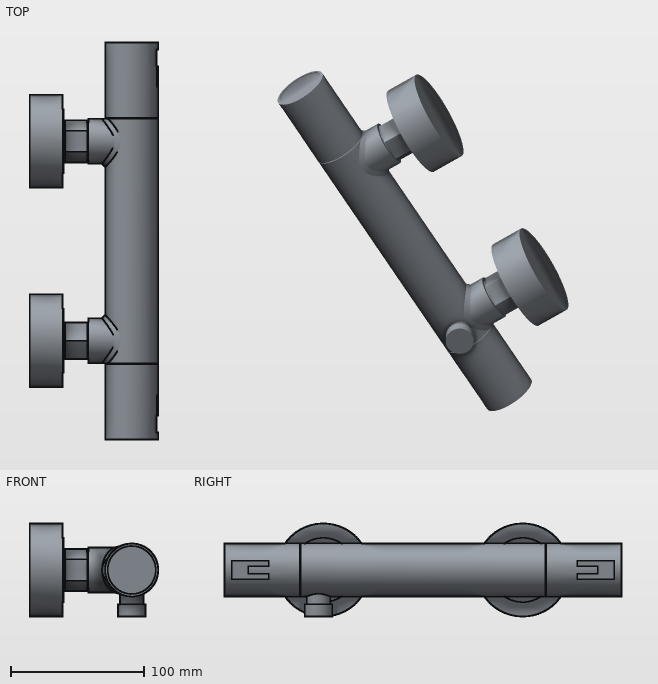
import cadquery as cq

BAR_LENGTH = 298.5
BAR_DIAMETER = 40.0
BAR_RADIUS = BAR_DIAMETER / 2
SEAM_Y = 92.5
SEAM_GAP = 0.5
RECESS_DIAMETER = 36.0
RECESS_DEPTH = 0.3

CONNECTION_Y = 75.0
COVER_DIAMETER = 70.0
COVER_BACK_X = BAR_RADIUS - 96.7
COVER_THICKNESS = 24.8
RIM_DIAMETER = 48.3
RIM_THICKNESS = 1.0
WASHER_DIAMETER = 28.0
WASHER_THICKNESS = 1.0
NUT_CORNERS = 32.0
NUT_LENGTH = 16.7
NECK_DIAMETER = 34.0
NECK_CHAMFER = 2.5

OUTLET_Y = -78.5
OUTLET_NECK_DIAMETER = 18.0
OUTLET_COLLAR_DIAMETER = 21.0
OUTLET_COLLAR_HEIGHT = 9.3
OUTLET_BOTTOM_Z = -COVER_DIAMETER / 2

FLAT_INNER_Y = 116.0
PAD_OUTER_Y = 131.3
FLAT_OUTER_Y = 143.8
FLAT_DEPTH = 1.2
PAD_WIDTH = 6.0


def bar_cylinder(diameter, start_y, end_y):
    """Cylinder on the bar axis."""
    plane = cq.Plane(origin=(0, start_y, 0), xDir=(1, 0, 0), normal=(0, 1, 0))
    return cq.Workplane(plane).circle(diameter / 2).extrude(end_y - start_y)


def connection_plane(x, y):
    """Plane facing +X, with its local axes along Y and Z."""
    return cq.Workplane("YZ", origin=(x, y, 0))


rim_x = COVER_BACK_X + COVER_THICKNESS
washer_x = rim_x + RIM_THICKNESS
nut_x = washer_x + WASHER_THICKNESS
front_washer_x = nut_x + NUT_LENGTH
neck_x = front_washer_x + WASHER_THICKNESS


def add_neck(tube, y):
    """Join a round neck to the tube and bevel the curved edge where they meet."""
    neck = connection_plane(neck_x, y).circle(NECK_DIAMETER / 2).extrude(-neck_x)
    joined = tube.union(neck)
    corner = NECK_DIAMETER / 2 + NECK_CHAMFER
    near_joint = cq.selectors.BoxSelector(
        (neck_x + NECK_CHAMFER, y - corner, -corner), (0, y + corner, corner), boundingbox=True
    )
    return joined.edges(near_joint).chamfer(NECK_CHAMFER)


def wall_connection(y, nut_angle):
    """Round cover, rim, washers and hexagonal nut in front of a neck."""
    cover = connection_plane(COVER_BACK_X, y).circle(COVER_DIAMETER / 2).extrude(COVER_THICKNESS)
    rim = connection_plane(rim_x, y).circle(RIM_DIAMETER / 2).extrude(RIM_THICKNESS)
    washer = connection_plane(washer_x, y).circle(WASHER_DIAMETER / 2).extrude(WASHER_THICKNESS)
    nut = (
        connection_plane(nut_x, y)
        .transformed(rotate=(0, 0, nut_angle))
        .polygon(6, NUT_CORNERS)
        .extrude(NUT_LENGTH)
    )
    front_washer = (
        connection_plane(front_washer_x, y).circle(WASHER_DIAMETER / 2).extrude(WASHER_THICKNESS)
    )
    return cover.union(rim).union(washer).union(nut).union(front_washer)


def hose_outlet():
    """Short round neck with a wider collar at its lower end."""
    bottom = cq.Workplane("XY", origin=(0, OUTLET_Y, OUTLET_BOTTOM_Z))
    neck = bottom.circle(OUTLET_NECK_DIAMETER / 2).extrude(-OUTLET_BOTTOM_Z)
    collar = bottom.circle(OUTLET_COLLAR_DIAMETER / 2).extrude(OUTLET_COLLAR_HEIGHT)
    return neck.union(collar)


def make_housing():
    """Middle of the bar with both wall connections and the hose outlet."""
    tube = bar_cylinder(BAR_DIAMETER, -BAR_LENGTH / 2, BAR_LENGTH / 2)
    for side in (-1, 1):
        tube = add_neck(tube, side * CONNECTION_Y)
    middle_end = SEAM_Y - SEAM_GAP
    trim = cq.Workplane("XY").box(4 * BAR_DIAMETER, 2 * middle_end, 2 * BAR_DIAMETER)
    body = tube.intersect(trim)
    body = body.union(bar_cylinder(RECESS_DIAMETER, -SEAM_Y, SEAM_Y))
    for y, nut_angle in ((-CONNECTION_Y, 90), (CONNECTION_Y, 0)):
        body = body.union(wall_connection(y, nut_angle))
    return body.union(hose_outlet())


def make_handle():
    """Handle at the +Y end of the bar."""
    end_y = BAR_LENGTH / 2
    handle = bar_cylinder(BAR_DIAMETER, SEAM_Y, end_y)
    handle = handle.cut(bar_cylinder(RECESS_DIAMETER, end_y - RECESS_DEPTH, end_y))
    flat = cq.Workplane("XY").box(
        FLAT_DEPTH, FLAT_OUTER_Y - FLAT_INNER_Y, BAR_DIAMETER, centered=(False, False, True)
    ).translate((BAR_RADIUS - FLAT_DEPTH, FLAT_INNER_Y, 0))
    pad = cq.Workplane("XY").box(
        BAR_RADIUS, PAD_OUTER_Y - FLAT_INNER_Y, PAD_WIDTH, centered=(False, False, True)
    ).translate((0, FLAT_INNER_Y, 0))
    return handle.cut(flat.cut(pad))


housing = make_housing()
handle = make_handle()
handles = [handle, handle.mirror("XZ")]

result = cq.Compound.makeCompound([housing.val(), *[h.val() for h in handles]])